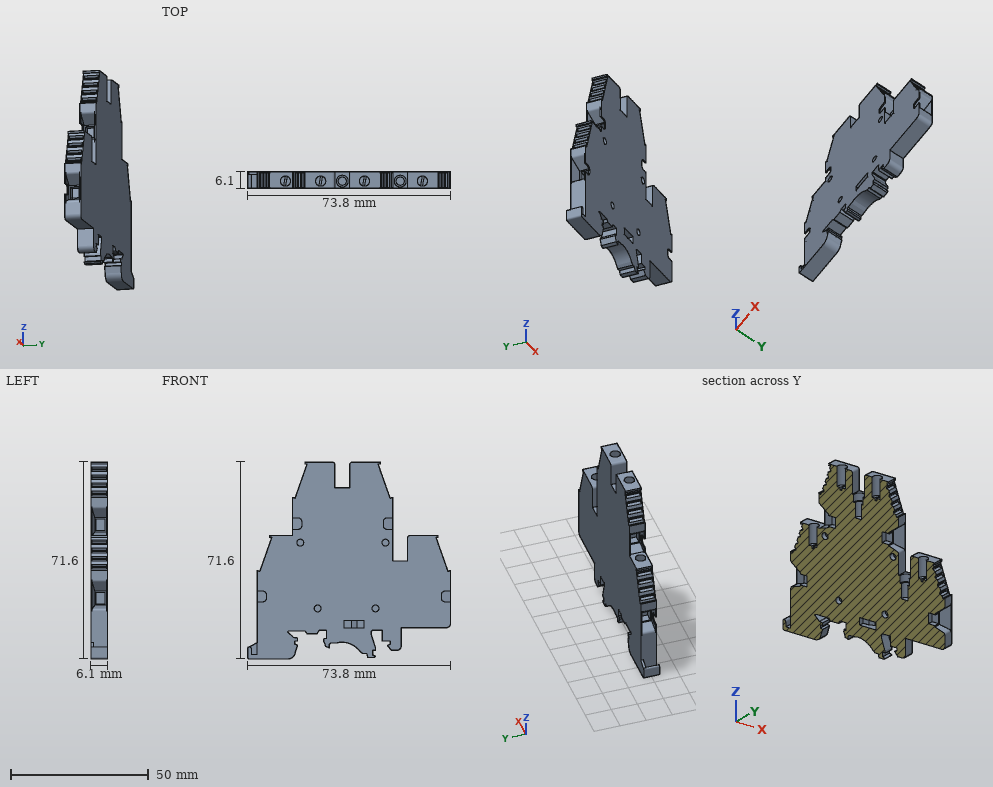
import cadquery as cq
import math

length = 73.8
thickness = 6.1
height = 71.55

upper_left = 16.25
upper_right = 52.75
left_step = 12.8
right_step = length - upper_right
tier_drop = 26.6
lower_top = height - tier_drop

lip_inset = 4.55
lip_height = 0.75
slope_top_inset = 5.3
slope_foot_inset = 0.95
ledge_inset = 0.4
slope_foot_drop = 13.1
wall_top_drop = 12.85

slot_left = 31.75
slot_width = 5.3
slot_depth = 9.25
slot_round = 1.0

right_floor = 11.35
right_corner_radius = 1.7
rail_gap_top = 10.4
hook_side = 55.9
hook_bottom = 3.15
hook_round = 1.75
left_wall = upper_left - left_step
foot_lip_top = 4.4
foot_lip_round = 0.55
foot_corner = 0.7
foot_web_top = 6.0

foot_recess_left = 1.45
foot_recess_floor = 1.75
foot_web = 1.0

skin = 0.45
groove_count = 4
groove_pitch = 2.95
first_groove_drop = 1.7
groove_height = 1.7
groove_floor_rise = 0.5
groove_floor_run = 1.0
groove_back_rise = 0.4

funnel_top_drop = 16.75
funnel_bottom_drop = 26.8
funnel_round = 1.0
throat_top_drop = 20.2
throat_bottom_drop = 25.35
funnel_depth = 4.5
funnel_back = thickness - skin
throat_back = 4.65
throat_rim = 0.5
wire_hole_depth = 3.0
notch_top_drop = 20.25
upper_notch_height = 4.2
lower_notch_height = 3.9
notch_depth = 3.45
notch_radius = 1.4

hole_row_y = 2.67
screw_inset = 10.3
screw_diameter = 3.7
screw_depth = 8.0
screw_slot_width = 0.7
screw_slot_depth = 1.0
screw_slot_angle = 80
socket_diameter = 4.3
socket_bore_diameter = 3.0
socket_depth = 3.0
socket_bore_depth = 6.0

pin_diameter = 2.5
pin_depth = 4.0
pin_centers = [(19.15, 42.3), (50.1, 42.3), (25.45, 18.4), (46.45, 18.4)]
window_left = 35.05
window_right = 42.2
window_bottom = 11.3
window_top = 14.1
window_ramp_left = 37.75
window_ramp_right = 39.7
window_shallow = 4.0
window_deep = 5.0

terminals = [
    (upper_left, 1, height, upper_notch_height, lower_top),
    (left_wall, 1, lower_top, lower_notch_height, 0),
    (upper_right, -1, height, upper_notch_height, 0),
    (length, -1, lower_top, lower_notch_height, 0),
]


def terminal_edge(wall, inward, top):
    """Outline of one terminal from its wall up to the lip at the tier top."""
    return [
        (wall, top - wall_top_drop),
        (wall + inward * ledge_inset, top - wall_top_drop),
        (wall + inward * slope_foot_inset, top - slope_foot_drop),
        (wall + inward * slope_top_inset, top - lip_height),
        (wall + inward * lip_inset, top - lip_height),
        (wall + inward * lip_inset, top),
    ]


def follow(path, points):
    """Append straight segments through the given points."""
    for x, z in points:
        path = path.lineTo(x, z)
    return path


def slot_edge(path, left, top):
    """Append a slot with both upper corners rounded, running left to right."""
    right = left + slot_width
    path = path.lineTo(left - slot_round, top)
    path = path.radiusArc((left, top - slot_round), slot_round)
    path = path.lineTo(left, top - slot_depth)
    path = path.lineTo(right, top - slot_depth)
    path = path.lineTo(right, top - slot_round)
    return path.radiusArc((right + slot_round, top), slot_round)


def rail_edge(path):
    """Append the underside, with its rail hooks as X, Z corners, from right to left."""
    right_hook = [(hook_side, right_floor), (hook_side, hook_bottom + hook_round)]
    path = follow(path, right_hook)
    path = path.radiusArc((hook_side - hook_round, hook_bottom), hook_round)
    spring_leg = [
        (52.25, hook_bottom), (50.75, 4.95), (51.8, 5.45), (51.8, 6.5), (48.9, 6.5), (48.9, rail_gap_top),
        (45.3, rail_gap_top), (45.0, 10.1), (45.0, 8.8), (46.55, 3.95), (46.55, 3.15), (45.5, 3.15),
        (45.5, 1.5), (46.55, 1.0), (46.0, 0.5), (43.65, 0.5), (43.25, 1.95), (41.85, 1.95),
        (40.85, 2.75),
    ]
    path = follow(path, spring_leg).threePointArc((38.0, 5.15), (33.7, 6.1))
    center_hook = [
        (32.3, 5.8), (30.25, 5.8), (29.75, 5.45), (29.75, 4.05), (28.35, 4.55), (27.55, 6.75),
        (27.75, 7.5), (28.65, 7.5), (28.65, rail_gap_top), (26.0, rail_gap_top), (25.25, 9.2), (21.6, 9.2),
        (20.9, 10.15), (14.9, 10.15), (14.6, 9.85), (16.7, 7.9), (18.2, 7.7), (18.2, 6.5),
        (17.2, 6.5), (17.2, 5.45), (18.2, 5.1), (17.4, 2.6),
    ]
    return follow(path, center_hook).threePointArc((16.5, 0.75), (14.65, 0))


def make_body():
    """Closed outline of the terminal block, extruded through its thickness."""
    path = cq.Workplane("XZ").moveTo(left_wall, foot_web_top)
    path = follow(path, terminal_edge(left_wall, 1, lower_top))
    path = path.lineTo(upper_left, lower_top)
    path = follow(path, terminal_edge(upper_left, 1, height))
    path = slot_edge(path, slot_left, height)
    path = follow(path, reversed(terminal_edge(upper_right, -1, height)))
    path = path.lineTo(upper_right, lower_top - slot_depth)
    right_slot_side = upper_right + slot_width
    path = path.lineTo(right_slot_side, lower_top - slot_depth)
    path = path.lineTo(right_slot_side, lower_top - slot_round)
    path = path.radiusArc((right_slot_side + slot_round, lower_top), slot_round)
    path = follow(path, reversed(terminal_edge(length, -1, lower_top)))
    path = path.lineTo(length, right_floor + right_corner_radius)
    path = path.radiusArc((length - right_corner_radius, right_floor), right_corner_radius)
    path = rail_edge(path)
    path = path.lineTo(foot_corner, 0).radiusArc((0, foot_corner), foot_corner)
    path = path.lineTo(0, foot_lip_top - foot_lip_round)
    path = path.radiusArc((foot_lip_round, foot_lip_top), foot_lip_round)
    return path.close().extrude(-thickness)


def block(x0, x1, y0, y1, z0, z1):
    """Box between two opposite corners; the ends may come in either order."""
    box = cq.Workplane("XY").box(abs(x1 - x0), abs(y1 - y0), abs(z1 - z0))
    return box.translate(((x0 + x1) / 2, (y0 + y1) / 2, (z0 + z1) / 2))


def grip_groove(wall, inward, bottom_drop, top):
    """Groove between the side skins, its back wall parallel to the terminal slope."""
    slope = (slope_top_inset - slope_foot_inset) / (slope_foot_drop - lip_height)
    foot_inset = slope_foot_inset + slope * (slope_foot_drop - bottom_drop)
    foot_x = wall + inward * foot_inset
    back_top_run = groove_floor_run + slope * groove_back_rise
    return (
        cq.Workplane("XZ", origin=(foot_x, skin, top - bottom_drop))
        .moveTo(0, 0)
        .lineTo(inward * groove_floor_run, groove_floor_rise)
        .lineTo(inward * back_top_run, groove_floor_rise + groove_back_rise)
        .lineTo(inward * slope * groove_height, groove_height)
        .close()
        .extrude(-(thickness - 2 * skin))
    )


def rounded_mouth(wall, inward, mouth_z, throat_z):
    """End points of the arc that rounds a funnel face into the wall: on the wall, on the face."""
    drop = throat_z - mouth_z
    turn = math.atan2(funnel_depth, abs(drop))
    trim = funnel_round * math.tan(turn / 2)
    outward_z = -math.copysign(trim, drop)
    on_wall = (wall, mouth_z + outward_z)
    on_face = (wall + inward * trim * math.sin(turn), mouth_z - outward_z * math.cos(turn))
    return on_wall, on_face


def wire_funnel(wall, inward, top, lowest):
    """Tapered lead-in above the level `lowest`, followed by a rectangular wire hole."""
    throat_x = wall + inward * funnel_depth
    throat_bottom = top - throat_bottom_drop
    throat_top = top - throat_top_drop
    upper_wall, upper_face = rounded_mouth(wall, inward, top - funnel_top_drop, throat_top)
    lower_wall, lower_face = rounded_mouth(wall, inward, top - funnel_bottom_drop, throat_bottom)
    side_profile = (
        cq.Workplane("XZ", origin=(0, skin, 0))
        .moveTo(*lower_wall)
        .radiusArc(lower_face, inward * funnel_round)
        .lineTo(throat_x, throat_bottom)
        .lineTo(throat_x, throat_top)
        .lineTo(*upper_face)
        .radiusArc(upper_wall, inward * funnel_round)
        .close()
        .extrude(-(funnel_back - skin))
    )
    plan_profile = (
        cq.Workplane("XY", origin=(0, 0, lowest))
        .polyline([(wall, skin), (wall, funnel_back), (throat_x, throat_back), (throat_x, skin)])
        .close()
        .extrude(height)
    )
    hole = block(
        throat_x, throat_x + inward * wire_hole_depth,
        skin + throat_rim, throat_back - throat_rim,
        throat_bottom + throat_rim, throat_top - throat_rim,
    )
    return side_profile.intersect(plan_profile).union(hole)


def front_notch(wall, inward, top, notch_height):
    """Opening of the funnel through the front skin, rounded at its inner end."""
    notch_top = top - notch_top_drop
    notch = block(
        wall, wall + inward * notch_depth, 0, skin,
        notch_top - notch_height, notch_top,
    )
    inner_edges = ">X" if inward > 0 else "<X"
    return notch.faces(inner_edges).edges("|Y").fillet(notch_radius)


def screw_hole(x, top):
    """Shaft down to a screw head with a slightly turned driver slot."""
    floor = top - screw_depth
    total = screw_depth + screw_slot_depth
    full_depth = (
        cq.Workplane("XY", origin=(x, hole_row_y, top - total))
        .circle(screw_diameter / 2)
        .extrude(total)
    )
    shaft = (
        cq.Workplane("XY", origin=(x, hole_row_y, floor))
        .circle(screw_diameter / 2)
        .extrude(screw_depth)
    )
    slot = (
        cq.Workplane("XY", origin=(x, hole_row_y, floor - screw_slot_depth))
        .transformed(rotate=(0, 0, screw_slot_angle))
        .rect(screw_diameter, screw_slot_width)
        .extrude(screw_slot_depth)
    )
    return shaft.union(slot.intersect(full_depth))


def test_socket(x, top):
    """Stepped round socket in the floor of a slot."""
    total = socket_depth + socket_bore_depth
    bore = (
        cq.Workplane("XY", origin=(x, hole_row_y, top - total))
        .circle(socket_bore_diameter / 2)
        .extrude(total)
    )
    mouth = (
        cq.Workplane("XY", origin=(x, hole_row_y, top - socket_depth))
        .circle(socket_diameter / 2)
        .extrude(socket_depth)
    )
    return bore.union(mouth)


def foot_recess():
    """Pocket between the rounded front lip and the outer wall, leaving the back web."""
    inner_round = foot_recess_left - foot_lip_round
    return (
        cq.Workplane("XZ")
        .moveTo(foot_recess_left, foot_recess_floor)
        .lineTo(left_wall, foot_recess_floor)
        .lineTo(left_wall, foot_web_top)
        .lineTo(foot_lip_round, foot_web_top)
        .lineTo(foot_lip_round, foot_lip_top)
        .radiusArc((foot_recess_left, foot_lip_top - inner_round), inner_round)
        .close()
        .extrude(-(thickness - foot_web))
    )


def pin_holes():
    """Blind round holes in the front face."""
    return cq.Workplane("XZ").pushPoints(pin_centers).circle(pin_diameter / 2).extrude(-pin_depth)


def front_window():
    """Rectangular window whose floor ramps down from left to right."""
    outline = [
        (window_left, 0), (window_right, 0), (window_right, window_deep),
        (window_ramp_right, window_deep), (window_ramp_left, window_shallow),
        (window_left, window_shallow),
    ]
    return (
        cq.Workplane("XY", origin=(0, 0, window_bottom))
        .polyline(outline)
        .close()
        .extrude(window_top - window_bottom)
    )


result = make_body()
for wall, inward, top, notch_height, lowest in terminals:
    for i in range(groove_count):
        bottom_drop = first_groove_drop + groove_height + i * groove_pitch
        result = result.cut(grip_groove(wall, inward, bottom_drop, top))
    result = result.cut(wire_funnel(wall, inward, top, lowest))
    result = result.cut(front_notch(wall, inward, top, notch_height))
    result = result.cut(screw_hole(wall + inward * screw_inset, top))

slot_center = slot_left + slot_width / 2
result = result.cut(test_socket(slot_center, height - slot_depth))
result = result.cut(test_socket(slot_center + right_step, lower_top - slot_depth))
result = result.cut(foot_recess()).cut(pin_holes()).cut(front_window())